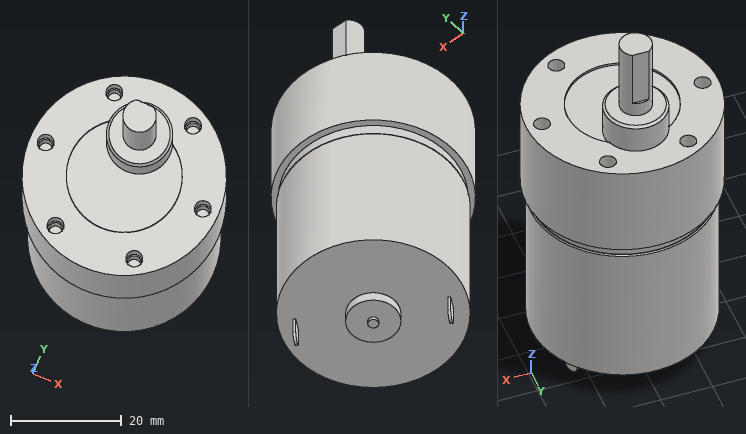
import cadquery as cq

gearbox_diameter = 37.0
gearbox_height = 19.0
recess_diameter = 21.0
recess_depth = 0.5

hole_count = 6
hole_diameter = 3.0
hole_circle_diameter = 30.95
hole_depth = 3.1
hole_core_diameter = 2.5
hole_core_depth = 6.0

shaft_offset = 7.0
boss_diameter = 12.0
boss_height = 6.0
boss_chamfer = 0.5
shaft_diameter = 6.0
shaft_length = 15.0
flat_depth = 0.5
flat_length = 12.0

neck_diameter = 34.4
neck_height = 2.4
motor_diameter = 35.1
motor_chamfer = 0.2

cap_diameter = 10.0
cap_height = 2.1
stub_diameter = 2.0
stub_length = 0.7

terminal_length = 5.0
terminal_thickness = 0.5
terminal_width = 2.8
terminal_radius = 14.25
terminal_angle = 30

overall_height = 77.4
motor_bottom = terminal_length
boss_top = overall_height - shaft_length
gearbox_top = boss_top - boss_height
gearbox_bottom = gearbox_top - gearbox_height
motor_top = gearbox_bottom - neck_height


def cylinder(diameter, bottom, top, y=0):
    return cq.Workplane("XY", origin=(0, y, bottom)).circle(diameter / 2).extrude(top - bottom)


def hole_ring(diameter, depth):
    return (
        cq.Workplane("XY", origin=(0, 0, gearbox_top))
        .polarArray(hole_circle_diameter / 2, 0, 360, hole_count)
        .circle(diameter / 2)
        .extrude(-depth)
    )


def make_gearbox():
    body = cylinder(gearbox_diameter, gearbox_bottom, gearbox_top)
    recess = cylinder(recess_diameter, gearbox_top - recess_depth, gearbox_top)
    entries = hole_ring(hole_diameter, hole_depth)
    cores = hole_ring(hole_core_diameter, hole_core_depth)
    return body.cut(recess).cut(entries).cut(cores)


def make_output():
    boss = cylinder(boss_diameter, gearbox_top - recess_depth, boss_top, shaft_offset)
    boss = boss.faces(">Z").edges().chamfer(boss_chamfer)
    shaft = cylinder(shaft_diameter, boss_top, overall_height, shaft_offset)
    flat_y = shaft_offset + shaft_diameter / 2 - flat_depth
    flat_cut = cq.Workplane("XY", origin=(0, flat_y, overall_height - flat_length)).box(
        shaft_diameter, shaft_diameter, flat_length, centered=(True, False, False)
    )
    return boss.union(shaft.cut(flat_cut))


def make_motor():
    can = cylinder(motor_diameter, motor_bottom, motor_top)
    can = can.faces(">Z").edges().chamfer(motor_chamfer)
    neck = cylinder(neck_diameter, motor_top, gearbox_bottom)
    cap_bottom = motor_bottom - cap_height
    cap = cylinder(cap_diameter, cap_bottom, motor_bottom)
    stub = cylinder(stub_diameter, cap_bottom - stub_length, cap_bottom)
    return can.union(neck).union(cap).union(stub)


def make_terminal(turn):
    """Flat pin with a full round tip, its broad face square to the radius at the given angle."""
    half_width = terminal_width / 2
    pin = (
        cq.Workplane("YZ", origin=(terminal_radius - terminal_thickness / 2, 0, 0))
        .moveTo(-half_width, motor_bottom)
        .lineTo(-half_width, half_width)
        .threePointArc((0, 0), (half_width, half_width))
        .lineTo(half_width, motor_bottom)
        .close()
        .extrude(terminal_thickness)
    )
    return pin.rotate((0, 0, 0), (0, 0, 1), turn)


result = make_gearbox().union(make_motor()).union(make_output())
for opposite in (0, 180):
    result = result.union(make_terminal(terminal_angle + opposite))